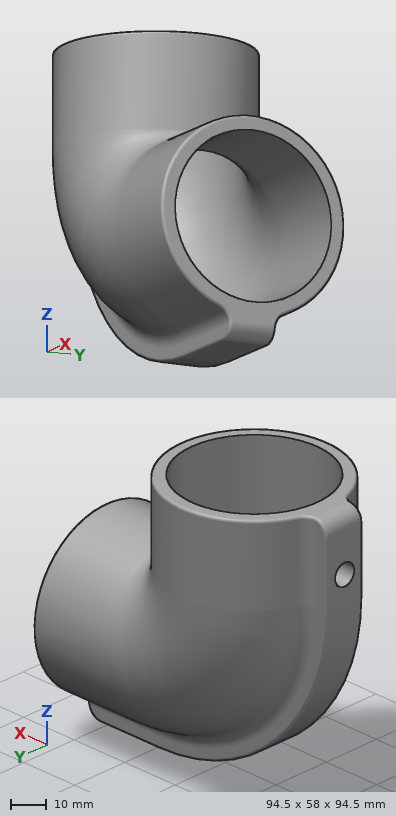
import cadquery as cq
import math

overall_size = 94.5
arm_length = 28.35
pipe_diameter = 58.0
bore_diameter = 49.5
bend_radius = 30.4
rib_width = 14.6
rib_flare_radius = 5.0
rib_corner_radius = 5.0
edge_radius = 0.9
hole_diameter = 7.6
hole_from_mouth = 18.8

pipe_radius = pipe_diameter / 2
half_rib = rib_width / 2
rib_outer_radius = overall_size - arm_length


def outer_profile():
    """Pipe circle with a rib on its outer side, blended by concave flares."""
    flare_y = half_rib + rib_flare_radius
    flare_angle = math.asin(flare_y / (pipe_radius + rib_flare_radius))
    flare_x = -bend_radius - (pipe_radius + rib_flare_radius) * math.cos(flare_angle)
    tangent_x = -bend_radius - pipe_radius * math.cos(flare_angle)
    tangent_y = pipe_radius * math.sin(flare_angle)
    middle_angle = -(math.pi / 2 + flare_angle) / 2
    middle_x = flare_x + rib_flare_radius * math.cos(middle_angle)
    middle_y = flare_y + rib_flare_radius * math.sin(middle_angle)
    return (
        cq.Workplane("XY")
        .moveTo(-rib_outer_radius, -half_rib)
        .lineTo(flare_x, -half_rib)
        .threePointArc((middle_x, -middle_y), (tangent_x, -tangent_y))
        .threePointArc((-bend_radius + pipe_radius, 0), (tangent_x, tangent_y))
        .threePointArc((middle_x, middle_y), (flare_x, half_rib))
        .lineTo(-rib_outer_radius, half_rib)
        .close()
    )


def bore_profile():
    return cq.Workplane("XY").moveTo(-bend_radius, 0).circle(bore_diameter / 2)


def turn_to_side(arm):
    """Swing a downward arm about the bend axis so that it points along +X."""
    return arm.rotate((0, 0, 0), (0, 1, 0), -90)


def elbow(profile):
    """Carry a profile along the upright arm, the bend and the side arm."""
    upright_arm = profile().extrude(arm_length)
    bend = profile().revolve(90, (0, 0, 0), (0, -1, 0))
    side_arm = turn_to_side(profile().extrude(-arm_length))
    return upright_arm.union(bend).union(side_arm)


def rib_corner_waste():
    """Material outside the rounded end of the rib on the upright arm."""
    mid = rib_corner_radius * (1 - math.sqrt(0.5))
    return (
        cq.Workplane("XZ", origin=(-rib_outer_radius, 0, arm_length))
        .lineTo(rib_corner_radius, 0)
        .threePointArc((mid, -mid), (0, -rib_corner_radius))
        .close()
        .extrude(pipe_radius, both=True)
    )


def bolt_hole():
    """Radial hole through the rib and the near wall, ending inside the bore."""
    return (
        cq.Workplane("YZ", origin=(-rib_outer_radius, 0, arm_length - hole_from_mouth))
        .circle(hole_diameter / 2)
        .extrude(rib_outer_radius - bend_radius)
    )


body = elbow(outer_profile)

corner_waste = rib_corner_waste()
body = body.cut(corner_waste).cut(turn_to_side(corner_waste.mirror("XY")))

body = body.faces(">Z or >X").edges("not |Y").fillet(edge_radius)

result = body.cut(elbow(bore_profile)).cut(bolt_hole())